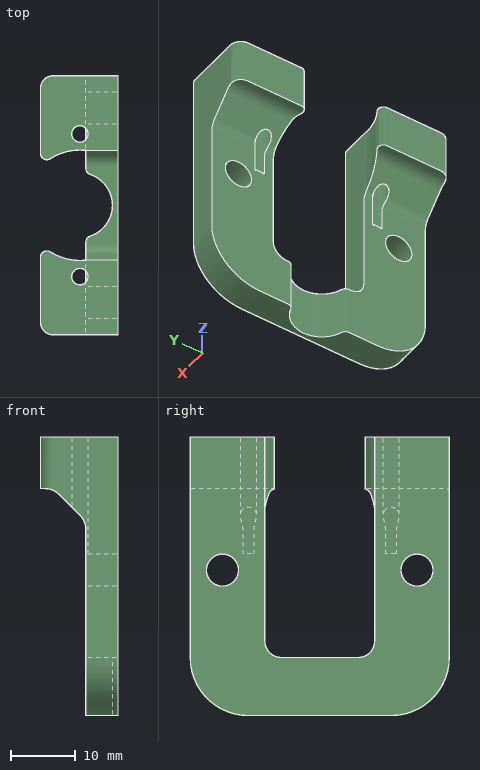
import cadquery as cq

depth = 12.0
width = 40.0
height = 43.0

plate_thickness = 5.0
opening_width = 16.9
opening_corner_radius = 2.5
base_height = 9.0
outer_corner_radius = 9.0

head_height = 8.0
underside_flat = 2.0
underside_blend_radius = 3.0
head_corner_radius = 2.0
head_tip_radius = 1.0

clearance_axis_x = 6.1
head_clearance_radius = 8.5
trough_radius = 5.0
trough_edge_radius = 1.0

pin_hole_diameter = 2.5
pin_hole_depth = 18.0
pin_hole_y = 11.0
mount_hole_diameter = 4.9
mount_hole_y = 15.0
mount_hole_z = 22.45

plate_front_x = depth - plate_thickness
head_bottom_z = height - head_height
ramp_bottom_z = head_bottom_z - (plate_front_x - underside_flat)
edge_tolerance = 0.01


def vertical_edges_near(body, x, y, z):
    """Select the vertical edges whose centre is at the given place."""
    reach = edge_tolerance
    box = cq.selectors.BoxSelector((x - reach, y - reach, z - reach), (x + reach, y + reach, z + reach))
    return body.edges("|Z").edges(box)


def side_profile():
    """Side outline of plate, ramp and head, extruded over the full width."""
    body = (
        cq.Workplane("XZ")
        .moveTo(depth, 0)
        .lineTo(depth, height)
        .lineTo(0, height)
        .lineTo(0, head_bottom_z)
        .lineTo(underside_flat, head_bottom_z)
        .lineTo(plate_front_x, ramp_bottom_z)
        .lineTo(plate_front_x, 0)
        .close()
        .extrude(width / 2, both=True)
    )
    ramp_ends = [(underside_flat, head_bottom_z), (plate_front_x, ramp_bottom_z)]
    for x, z in ramp_ends:
        ramp_edge = cq.selectors.NearestToPointSelector((x, 0, z))
        body = body.edges("|Y").edges(ramp_edge).fillet(underside_blend_radius)
    return body


def opening():
    """Gap between the legs behind the clearance axis, open at the top, with rounded lower corners."""
    gap_length = depth - clearance_axis_x
    gap_height = height - base_height
    return (
        cq.Workplane("XY")
        .box(gap_length, opening_width, gap_height, centered=(False, True, False))
        .translate((clearance_axis_x, 0, base_height))
        .edges("|X and <Z")
        .fillet(opening_corner_radius)
    )


def head_blank():
    """Full-height plan of the heads: rounded corners and a circular clearance with rounded tips."""
    plan = cq.Workplane("XY").box(depth, width, height, centered=(False, True, False))
    plan = plan.edges("|Z and <X").fillet(head_corner_radius)
    passage = cq.Workplane("XY").center(clearance_axis_x, 0).circle(head_clearance_radius).extrude(height)
    plan = plan.cut(passage)
    tip_y = (head_clearance_radius**2 - clearance_axis_x**2) ** 0.5
    for side in (-1, 1):
        plan = vertical_edges_near(plan, 0, side * tip_y, height / 2).fillet(head_tip_radius)
    return plan


def base_block():
    """Cross-bar joining the legs, with the round trough in its front face."""
    bar_height = base_height + opening_corner_radius
    bar = cq.Workplane("XY").box(plate_thickness, width, bar_height, centered=(False, True, False))
    bar = bar.translate((plate_front_x, 0, 0))
    trough = cq.Workplane("XY").center(clearance_axis_x, 0).circle(trough_radius).extrude(bar_height)
    bar = bar.cut(trough)
    mouth_y = (trough_radius**2 - (plate_front_x - clearance_axis_x) ** 2) ** 0.5
    for side in (-1, 1):
        bar = vertical_edges_near(bar, plate_front_x, side * mouth_y, bar_height / 2).fillet(trough_edge_radius)
    return bar


def pin_holes():
    """Blind holes bored down from the top, grazing the front face of the plate."""
    return (
        cq.Workplane("XY", origin=(0, 0, height - pin_hole_depth))
        .pushPoints([(clearance_axis_x, -pin_hole_y), (clearance_axis_x, pin_hole_y)])
        .circle(pin_hole_diameter / 2)
        .extrude(pin_hole_depth)
    )


def mount_holes():
    """Through holes across the plate thickness."""
    return (
        cq.Workplane("YZ")
        .pushPoints([(-mount_hole_y, mount_hole_z), (mount_hole_y, mount_hole_z)])
        .circle(mount_hole_diameter / 2)
        .extrude(depth)
    )


body = side_profile().intersect(head_blank().union(base_block()))
body = body.cut(opening())
body = body.edges("|X and <Z").edges("<Y or >Y").fillet(outer_corner_radius)
result = body.cut(pin_holes()).cut(mount_holes())